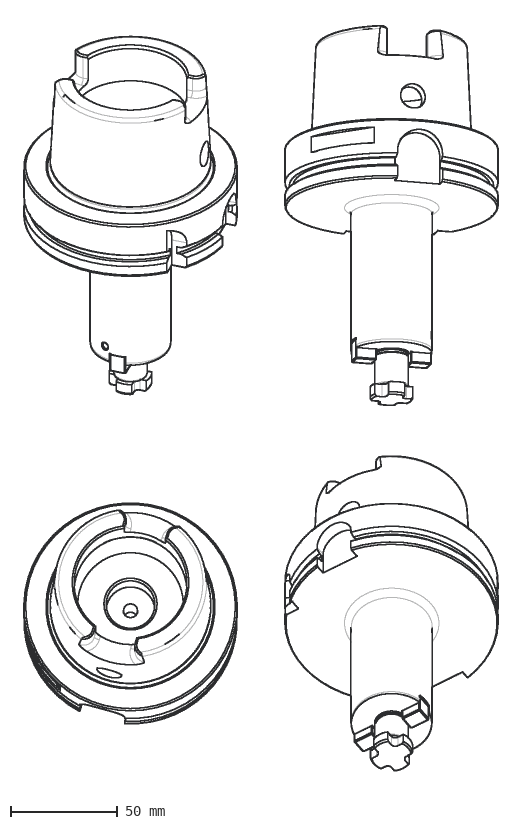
import cadquery as cq
import math


shank_height = 50.0
taper_base_radius = 37.7
taper_rate = 0.045
taper_base_z = 2.2
rim_round = 1.7
neck_radius = 37.4
neck_fillet = 1.5
neck_recess_depth = 0.7

bore_radius = 26.5
bore_depth = 19.7
bore_chamfer_width = 0.9
bore_chamfer_height = 1.5
undercut_radius = 31.3
undercut_cone_height = 2.8
undercut_bottom_z = 8.8
floor_radius = 24.7
floor_cone_height = 3.8
socket_radius = 11.5
socket_chamfer = 1.0
socket_depth = 13.8
core_hole_radius = 3.3
core_hole_depth = 17.3

rim_slot_width = 20.0
rim_slot_depth_left = 15.0
rim_slot_depth_right = 10.2
lug_tangent_x = 27.2
lug_round = 5.2
rim_slot_floor_fillet = 2.5
lug_chamfer = 0.9

cross_hole_diameter = 12.0
cross_hole_z = 15.0

flange_radius = 50.0
flange_height = 29.0
flange_top_chamfer = 0.9
flange_bottom_chamfer_width = 0.5
flange_bottom_chamfer_height = 1.0
groove_radius = 46.2
groove_center_z = -20.0
groove_mouth = 6.2
groove_cone_radius = 48.0
groove_floor = 3.6

drive_slot_floor = 44.0
drive_slot_width_left = 22.0
drive_slot_width_right = 19.0
drive_slot_arc_z = -16.0
notch_corner = 31.5
notch_radius = 10.0
notch_arc_z = -14.7
flat_distance = 47.0
flat_top_z = -4.2
flat_height = 7.6
flat_angle = 135

nose_radius = 19.0
nose_bottom_z = -100.0
nose_fillet = 3.1
nose_chamfer_width = 0.2
nose_chamfer_height = 1.4
pilot_radius = 8.0
pilot_length = 17.0
pilot_chamfer_width = 0.2
pilot_chamfer_height = 0.9
pilot_relief_radius = 7.5
pilot_relief_height = 2.0
head_radius = 10.0
head_height = 6.0
head_chamfer_width = 0.7
head_chamfer_height = 1.0
head_arm_width = 7.8
head_corner_fillet = 2.0

plug_radius = 1.5
plug_chamfer = 0.5
plug_depth = 4.0
plug_angle = 250
plug_z = -92.0

key_width = 8.0
key_inner_y = 8.3
key_outer_y = 18.5
key_seat_depth = 4.7
key_projection = 5.2
key_chamfer = 0.5

cut_reach = 2 * flange_radius


def arbor_blank():
    """Revolved outside of the shank, flange, nose and pilot."""
    rim_radius = taper_base_radius - taper_rate * (shank_height - taper_base_z)
    groove_top = groove_center_z + groove_mouth / 2
    groove_bottom = groove_center_z - groove_mouth / 2
    groove_floor_top = groove_center_z + groove_floor / 2
    groove_floor_bottom = groove_center_z - groove_floor / 2
    relief_taper = pilot_radius - pilot_relief_radius
    pilot_end_z = nose_bottom_z - pilot_length
    neck_fillet_mid = neck_fillet * (1 - math.sqrt(0.5))
    nose_fillet_mid = nose_fillet * (1 - math.sqrt(0.5))
    rim_mid = rim_round * (1 - math.sqrt(0.5))
    return (
        cq.Workplane("YZ")
        .moveTo(0, shank_height)
        .lineTo(rim_radius - rim_round, shank_height)
        .threePointArc(
            (rim_radius - rim_mid, shank_height - rim_mid),
            (rim_radius, shank_height - rim_round),
        )
        .lineTo(taper_base_radius, taper_base_z)
        .lineTo(neck_radius, taper_base_z - (taper_base_radius - neck_radius))
        .lineTo(neck_radius, neck_fillet - neck_recess_depth)
        .threePointArc(
            (neck_radius + neck_fillet_mid, neck_fillet_mid - neck_recess_depth),
            (neck_radius + neck_fillet, -neck_recess_depth),
        )
        .lineTo(neck_radius + neck_fillet + neck_recess_depth, 0)
        .lineTo(flange_radius - flange_top_chamfer, 0)
        .lineTo(flange_radius, -flange_top_chamfer)
        .lineTo(flange_radius, groove_top)
        .lineTo(groove_cone_radius, groove_floor_top)
        .lineTo(groove_radius, groove_floor_top)
        .lineTo(groove_radius, groove_floor_bottom)
        .lineTo(groove_cone_radius, groove_floor_bottom)
        .lineTo(flange_radius, groove_bottom)
        .lineTo(flange_radius, flange_bottom_chamfer_height - flange_height)
        .lineTo(flange_radius - flange_bottom_chamfer_width, -flange_height)
        .lineTo(nose_radius + nose_fillet, -flange_height)
        .threePointArc(
            (nose_radius + nose_fillet_mid, -flange_height - nose_fillet_mid),
            (nose_radius, -flange_height - nose_fillet),
        )
        .lineTo(nose_radius, nose_bottom_z + nose_chamfer_height)
        .lineTo(nose_radius - nose_chamfer_width, nose_bottom_z)
        .lineTo(pilot_radius, nose_bottom_z)
        .lineTo(pilot_relief_radius, nose_bottom_z - relief_taper)
        .lineTo(pilot_relief_radius, nose_bottom_z - pilot_relief_height + relief_taper)
        .lineTo(pilot_radius, nose_bottom_z - pilot_relief_height)
        .lineTo(pilot_radius, pilot_end_z + pilot_chamfer_height)
        .lineTo(pilot_radius - pilot_chamfer_width, pilot_end_z)
        .lineTo(0, pilot_end_z)
        .close()
        .revolve(360, (0, 0), (0, 1))
    )


def clamping_head():
    """Cross-shaped head below the pilot, with rounded inner corners and a chamfered lower rim."""
    bottom_z = nose_bottom_z - pilot_length - head_height
    disc = (
        cq.Workplane("XZ")
        .moveTo(0, bottom_z)
        .lineTo(head_radius - head_chamfer_width, bottom_z)
        .lineTo(head_radius, bottom_z + head_chamfer_height)
        .lineTo(head_radius, bottom_z + head_height)
        .lineTo(0, bottom_z + head_height)
        .close()
        .revolve(360, (0, 0), (0, 1))
    )
    arm_x = cq.Workplane("XY").rect(4 * head_radius, head_arm_width).extrude(head_height)
    arm_y = cq.Workplane("XY").rect(head_arm_width, 4 * head_radius).extrude(head_height)
    inner_corners = cq.selectors.BoxSelector(
        (-head_arm_width, -head_arm_width, 0), (head_arm_width, head_arm_width, head_height)
    )
    cross = arm_x.union(arm_y).edges("|Z").edges(inner_corners).fillet(head_corner_fillet)
    return disc.intersect(cross.translate((0, 0, bottom_z)))


def cavity():
    """Revolved hollow of the shank: bore, undercut, conical floor rim, socket and core hole."""
    bore_bottom_z = shank_height - bore_depth
    floor_z = undercut_bottom_z - floor_cone_height
    socket_bottom_z = floor_z - socket_depth
    return (
        cq.Workplane("YZ")
        .moveTo(0, shank_height)
        .lineTo(bore_radius + bore_chamfer_width, shank_height)
        .lineTo(bore_radius, shank_height - bore_chamfer_height)
        .lineTo(bore_radius, bore_bottom_z)
        .lineTo(undercut_radius, bore_bottom_z - undercut_cone_height)
        .lineTo(undercut_radius, undercut_bottom_z)
        .lineTo(floor_radius, floor_z)
        .lineTo(socket_radius + socket_chamfer, floor_z)
        .lineTo(socket_radius, floor_z - socket_chamfer)
        .lineTo(socket_radius, socket_bottom_z)
        .lineTo(core_hole_radius, socket_bottom_z)
        .lineTo(core_hole_radius, socket_bottom_z - core_hole_depth)
        .lineTo(0, socket_bottom_z - core_hole_depth)
        .close()
        .revolve(360, (0, 0), (0, 1))
    )


def rim_slot_plan(side):
    """Closed plan of a rim slot: parallel walls that round the lug corners and open outward."""
    half = rim_slot_width / 2
    arc_mid = lug_round * math.sqrt(0.5)
    open_x = lug_tangent_x + lug_round
    return (
        cq.Workplane("XY")
        .moveTo(0, -half)
        .lineTo(side * lug_tangent_x, -half)
        .threePointArc(
            (side * (lug_tangent_x + arc_mid), -half - lug_round + arc_mid),
            (side * open_x, -half - lug_round),
        )
        .lineTo(side * open_x, -cut_reach)
        .lineTo(side * cut_reach, -cut_reach)
        .lineTo(side * cut_reach, cut_reach)
        .lineTo(side * open_x, cut_reach)
        .lineTo(side * open_x, half + lug_round)
        .threePointArc(
            (side * (lug_tangent_x + arc_mid), half + lug_round - arc_mid),
            (side * lug_tangent_x, half),
        )
        .lineTo(0, half)
        .close()
    )


def rim_slot(side, depth):
    """Cutter for a rim slot on the -X (side = -1) or +X (side = 1) end.

    A 45-degree lip at the top of the cutter chamfers the top edges of the lug ends.
    """
    slot = rim_slot_plan(side).extrude(depth).faces("<Z").edges().fillet(rim_slot_floor_fillet)
    lip = rim_slot_plan(side).extrude(lug_chamfer, taper=-45).translate((0, 0, depth - lug_chamfer))
    return slot.union(lip).translate((0, 0, shank_height - depth))


def round_top_slot(side, center_y, width, arc_z, floor_x):
    """Cutter for a flange slot along X with a half-round top, open at the flange's lower face."""
    half = width / 2
    return (
        cq.Workplane("YZ", origin=(side * floor_x, 0, 0))
        .moveTo(center_y - half, -flange_height)
        .lineTo(center_y - half, arc_z)
        .threePointArc((center_y, arc_z + half), (center_y + half, arc_z))
        .lineTo(center_y + half, -flange_height)
        .close()
        .extrude(side * cut_reach)
    )


def flange_flat():
    """Cutter for the flat on the flange rim."""
    return (
        cq.Workplane("XY")
        .box(cut_reach, cut_reach, flat_height, centered=(False, True, False))
        .translate((flat_distance, 0, flat_top_z - flat_height))
        .rotate((0, 0, 0), (0, 0, 1), flat_angle)
    )


def plug_hole():
    """Cutter for the countersunk radial hole with a drill-point floor near the nose face."""
    mouth_radius = plug_radius + plug_chamfer
    mouth_x = nose_radius
    floor_x = nose_radius - plug_depth
    return (
        cq.Workplane("XZ")
        .moveTo(floor_x - plug_radius / 2, 0)
        .lineTo(floor_x, plug_radius)
        .lineTo(mouth_x - plug_chamfer, plug_radius)
        .lineTo(mouth_x, mouth_radius)
        .lineTo(mouth_x + mouth_radius, mouth_radius)
        .lineTo(mouth_x + mouth_radius, 0)
        .close()
        .revolve(360, (0, 0), (1, 0))
        .translate((0, 0, plug_z))
        .rotate((0, 0, 0), (0, 0, 1), plug_angle)
    )


def key_block(side, height):
    """Box of the key's plan size on the -Y (side = -1) or +Y (side = 1) side, below the seat."""
    return cq.Workplane("XY").box(
        key_width, key_outer_y - key_inner_y, height, centered=(True, True, False)
    ).translate((0, side * (key_inner_y + key_outer_y) / 2, nose_bottom_z + key_seat_depth - height))


def key_slot(side):
    """Cutter for a key slot, open outward and downward."""
    return (
        cq.Workplane("XY")
        .box(key_width, cut_reach, key_seat_depth, centered=(True, True, False))
        .translate((0, side * (key_inner_y + cut_reach / 2), nose_bottom_z))
    )


def build_arbor():
    body = arbor_blank().union(clamping_head()).cut(cavity())
    body = body.cut(rim_slot(-1, rim_slot_depth_left)).cut(rim_slot(1, rim_slot_depth_right))
    cross_hole = (
        cq.Workplane("YZ", origin=(-cut_reach, 0, cross_hole_z))
        .circle(cross_hole_diameter / 2)
        .extrude(2 * cut_reach)
    )
    body = body.cut(cross_hole)
    body = body.cut(round_top_slot(-1, 0, drive_slot_width_left, drive_slot_arc_z, drive_slot_floor))
    body = body.cut(round_top_slot(1, 0, drive_slot_width_right, drive_slot_arc_z, drive_slot_floor))
    body = body.cut(
        round_top_slot(1, -notch_corner - notch_radius, 2 * notch_radius, notch_arc_z, notch_corner)
    )
    body = body.cut(flange_flat()).cut(plug_hole())
    for side in (-1, 1):
        body = body.cut(key_slot(side))
    return body


def build_key(side):
    return key_block(side, key_seat_depth + key_projection).edges().chamfer(key_chamfer)


arbor = build_arbor()
keys = [build_key(side) for side in (-1, 1)]
result = cq.Compound.makeCompound([arbor.val(), *[key.val() for key in keys]])